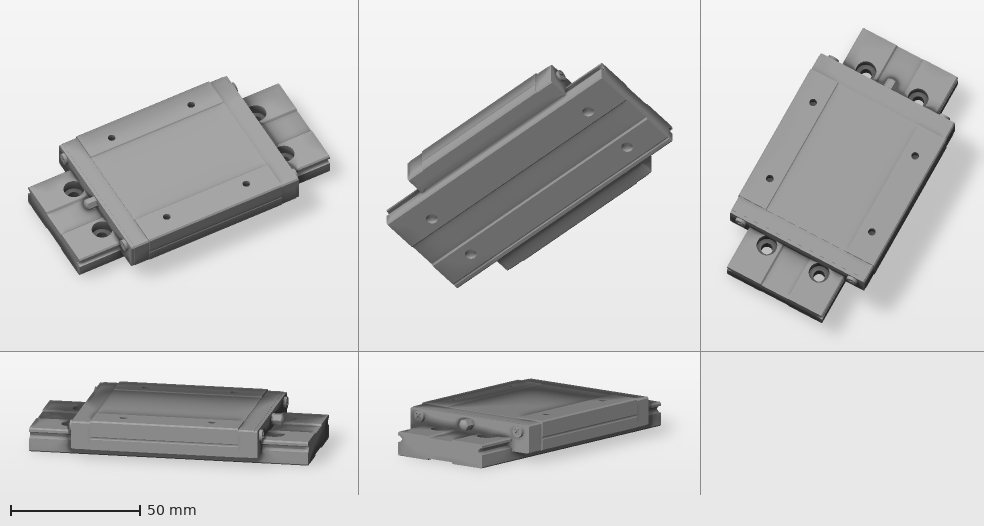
import cadquery as cq
import math


RAIL_LENGTH = 110.0
RAIL_WIDTH = 42.0
RAIL_HEIGHT = 9.5
RAIL_CHAMFER = 0.5
RELIEF_HALF_WIDTH = 5.6
RELIEF_DEPTH = 0.7
TRACK_DIAMETER = 2.8
TRACK_INSET = 0.3
TRACK_Z = 6.6
TRACK_SLOT_DEPTH = 2.1
TRACK_SLOT_HEIGHT = 0.9
MARK_X = -18.5
MARK_DIAMETER = 1.1
MARK_AXIS_Z = -0.2
RAIL_HOLE_DIAMETER = 4.5
COUNTERBORE_DIAMETER = 8.0
COUNTERBORE_DEPTH = 4.5
RAIL_HOLE_SPACING_X = 23.0
RAIL_HOLE_SPACING_Y = 80.1

OVERALL_HEIGHT = 16.0
BLOCK_WIDTH = 60.0
BLOCK_LENGTH = 58.3
CARRIAGE_BOTTOM = 4.0
CARRIAGE_CHAMFER = 0.5
PANEL_HALF_WIDTH = 17.6
PANEL_DEPTH = 0.3
SIDE_GROOVE_Z = 9.1
SIDE_GROOVE_HEIGHT = 1.1
SIDE_GROOVE_DEPTH = 0.2
MOUNT_HOLE_DIAMETER = 3.0
MOUNT_HOLE_DEPTH = 4.0
DRILL_POINT_ANGLE = 118.0
MOUNT_HOLE_SPACING_X = 45.0
MOUNT_HOLE_SPACING_Y = 35.0
CAP_WIDTH = 59.4
CAP_TOP = 15.4
CAP_LENGTH = 6.3
SEAL_INSET = 0.1
SEAL_THICKNESS = 1.3
RUNNING_CLEARANCE = 0.9

FITTING_Z = 12.3
SCREW_X = 24.5
SCREW_HEAD_DIAMETER = 4.5
SCREW_HEAD_HEIGHT = 1.2
CROSS_LENGTH = 3.0
CROSS_WIDTH = 0.7
CROSS_DEPTH = 0.5
HEX_ACROSS_FLATS = 4.0
NIPPLE_LENGTH = 4.7
NIPPLE_DOME_RADIUS = 3.1

CAP_END = BLOCK_LENGTH / 2 + CAP_LENGTH
CARRIAGE_END = CAP_END + SEAL_THICKNESS


def bar(center_x, width, z_low, z_high, length):
    """Rectangular bar along Y, centred on Y = 0."""
    return cq.Workplane("XY").box(width, length, z_high - z_low).translate(
        (center_x, 0, (z_low + z_high) / 2)
    )


def rod(x, z, diameter, length):
    """Round bar along Y, centred on Y = 0."""
    return cq.Workplane("XZ").center(x, z).circle(diameter / 2).extrude(length / 2, both=True)


def channel(half_width, z_floor, z_open, length):
    """Bar with 45 degree flanks that widens from z_floor to z_open, for cutting a shallow channel."""
    open_half_width = half_width + abs(z_open - z_floor)
    outline = [
        (-half_width, z_floor),
        (half_width, z_floor),
        (open_half_width, z_open),
        (-open_half_width, z_open),
    ]
    return cq.Workplane("XZ").polyline(outline).close().extrude(length / 2, both=True)


def make_rail_bar():
    """Rail section at full length, before the screw holes are drilled."""
    rail = bar(0, RAIL_WIDTH, 0, RAIL_HEIGHT, RAIL_LENGTH).edges("|Y").chamfer(RAIL_CHAMFER)
    for z_floor, z_open in ((RAIL_HEIGHT - RELIEF_DEPTH, RAIL_HEIGHT), (RELIEF_DEPTH, 0)):
        rail = rail.cut(channel(RELIEF_HALF_WIDTH, z_floor, z_open, RAIL_LENGTH))
    for side in (-1, 1):
        track_x = side * (RAIL_WIDTH / 2 - TRACK_INSET)
        rail = rail.cut(rod(track_x, TRACK_Z, TRACK_DIAMETER, RAIL_LENGTH))
        slot_x = side * (RAIL_WIDTH - TRACK_SLOT_DEPTH) / 2
        slot_low = TRACK_Z - TRACK_SLOT_HEIGHT / 2
        slot_high = TRACK_Z + TRACK_SLOT_HEIGHT / 2
        rail = rail.cut(bar(slot_x, TRACK_SLOT_DEPTH, slot_low, slot_high, RAIL_LENGTH))
    return rail.cut(rod(MARK_X, MARK_AXIS_Z, MARK_DIAMETER, RAIL_LENGTH))


def make_rail(rail_bar):
    """Rail with a counterbored screw hole at each corner."""
    return (
        rail_bar.faces(">Z")
        .workplane(origin=(0, 0, RAIL_HEIGHT))
        .rarray(RAIL_HOLE_SPACING_X, RAIL_HOLE_SPACING_Y, 2, 2)
        .cboreHole(RAIL_HOLE_DIAMETER, COUNTERBORE_DIAMETER, COUNTERBORE_DEPTH)
    )


def mount_hole_cutters():
    """Blind drilled holes with a conical bottom, one per corner of the block."""
    radius = MOUNT_HOLE_DIAMETER / 2
    point_length = radius / math.tan(math.radians(DRILL_POINT_ANGLE / 2))
    drill = (
        cq.Workplane("XZ")
        .moveTo(0, 0)
        .lineTo(radius, 0)
        .lineTo(radius, -MOUNT_HOLE_DEPTH)
        .lineTo(0, -MOUNT_HOLE_DEPTH - point_length)
        .close()
        .revolve(360, (0, 0, 0), (0, 1, 0))
    )
    return [
        drill.translate((x * MOUNT_HOLE_SPACING_X / 2, y * MOUNT_HOLE_SPACING_Y / 2, OVERALL_HEIGHT))
        for x in (-1, 1)
        for y in (-1, 1)
    ]


def make_block():
    """Middle of the carriage, before the rail passage is cut."""
    block = bar(0, BLOCK_WIDTH, CARRIAGE_BOTTOM, OVERALL_HEIGHT, BLOCK_LENGTH)
    block = block.edges("|Y").chamfer(CARRIAGE_CHAMFER)
    block = block.cut(
        channel(PANEL_HALF_WIDTH, OVERALL_HEIGHT - PANEL_DEPTH, OVERALL_HEIGHT, BLOCK_LENGTH)
    )

    half_height = SIDE_GROOVE_HEIGHT / 2
    groove_radius = (half_height**2 + SIDE_GROOVE_DEPTH**2) / (2 * SIDE_GROOVE_DEPTH)
    groove_x = BLOCK_WIDTH / 2 - SIDE_GROOVE_DEPTH + groove_radius
    for side in (-1, 1):
        block = block.cut(rod(side * groove_x, SIDE_GROOVE_Z, 2 * groove_radius, BLOCK_LENGTH))

    for cutter in mount_hole_cutters():
        block = block.cut(cutter)
    return block


def make_end_plate(width, z_low, z_high, y_inner, y_outer):
    """Chamfered plate across the -Y end of the carriage."""
    thickness = y_outer - y_inner
    plate = bar(0, width, z_low, z_high, thickness).edges("|Y").chamfer(CARRIAGE_CHAMFER)
    return plate.translate((0, -(y_inner + y_outer) / 2, 0))


def make_seal(rail_bar):
    """Seal plate whose opening follows the rail section exactly."""
    seal = make_end_plate(
        CAP_WIDTH - 2 * SEAL_INSET,
        CARRIAGE_BOTTOM + SEAL_INSET,
        CAP_TOP - SEAL_INSET,
        CAP_END,
        CARRIAGE_END,
    )
    return seal.cut(rail_bar)


def make_screw_head(x):
    """Round screw head with a cross recess turned 45 degrees, on the -Y end."""
    end_plane = cq.Workplane("XZ", origin=(x, -CARRIAGE_END, FITTING_Z))
    head = end_plane.circle(SCREW_HEAD_DIAMETER / 2).extrude(SCREW_HEAD_HEIGHT)
    recess_plane = end_plane.workplane(offset=SCREW_HEAD_HEIGHT)
    for angle in (-45, 45):
        arm = recess_plane.transformed(rotate=(0, 0, angle)).rect(CROSS_LENGTH, CROSS_WIDTH)
        head = head.cut(arm.extrude(-CROSS_DEPTH))
    return head


def make_carriage(rail_bar):
    """Block, end caps, seals and cap screws as one body around the rail."""
    cap = make_end_plate(CAP_WIDTH, CARRIAGE_BOTTOM, CAP_TOP, BLOCK_LENGTH / 2, CAP_END)
    passage_width = RAIL_WIDTH + 2 * RUNNING_CLEARANCE
    passage = bar(0, passage_width, 0, RAIL_HEIGHT + RUNNING_CLEARANCE, 2 * CAP_END)
    end = cap.cut(passage).union(make_seal(rail_bar))
    for x in (-SCREW_X, SCREW_X):
        end = end.union(make_screw_head(x))
    return make_block().cut(passage).union(end).union(end.mirror("XZ"))


def make_nipple():
    """Grease nipple on the -Y end: a hexagon with a domed tip."""
    hex_across_corners = HEX_ACROSS_FLATS / math.cos(math.radians(30))
    end_plane = cq.Workplane("XZ", origin=(0, -CARRIAGE_END, FITTING_Z))
    hexagon = end_plane.polygon(6, hex_across_corners).extrude(NIPPLE_LENGTH)
    dome = end_plane.workplane(offset=NIPPLE_LENGTH - NIPPLE_DOME_RADIUS).sphere(NIPPLE_DOME_RADIUS)
    return hexagon.intersect(dome)


rail_bar = make_rail_bar()
rail = make_rail(rail_bar)
carriage = make_carriage(rail_bar)
nipple = make_nipple()

result = cq.Compound.makeCompound([body.solids().val() for body in (rail, carriage, nipple)])